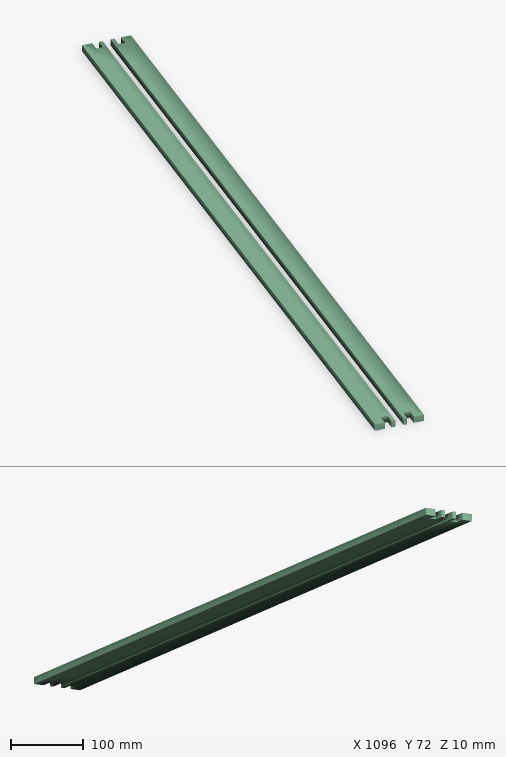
import cadquery as cq

length = 1096.0
overall_width = 72.0
thickness = 10.0

gap = 12.0
rail_width = (overall_width - gap) / 2

slot_depth = 15.0
slot_width = 10.0
tongue_width = 5.0


def make_rail(side):
    """Slotted rail on the +Y (side = 1) or -Y (side = -1) side of the centre plane."""
    rail_y = side * (gap + rail_width) / 2
    rail = cq.Workplane("XY").box(length, rail_width, thickness).translate((0, rail_y, 0))

    slot_y = side * (gap / 2 + tongue_width + slot_width / 2)
    slot_x = (length - slot_depth) / 2
    slots = (
        cq.Workplane("XY")
        .pushPoints([(-slot_x, slot_y), (slot_x, slot_y)])
        .box(slot_depth, slot_width, thickness)
    )
    return rail.cut(slots)


rails = [make_rail(side) for side in (1, -1)]

result = cq.Compound.makeCompound([rail.val() for rail in rails])